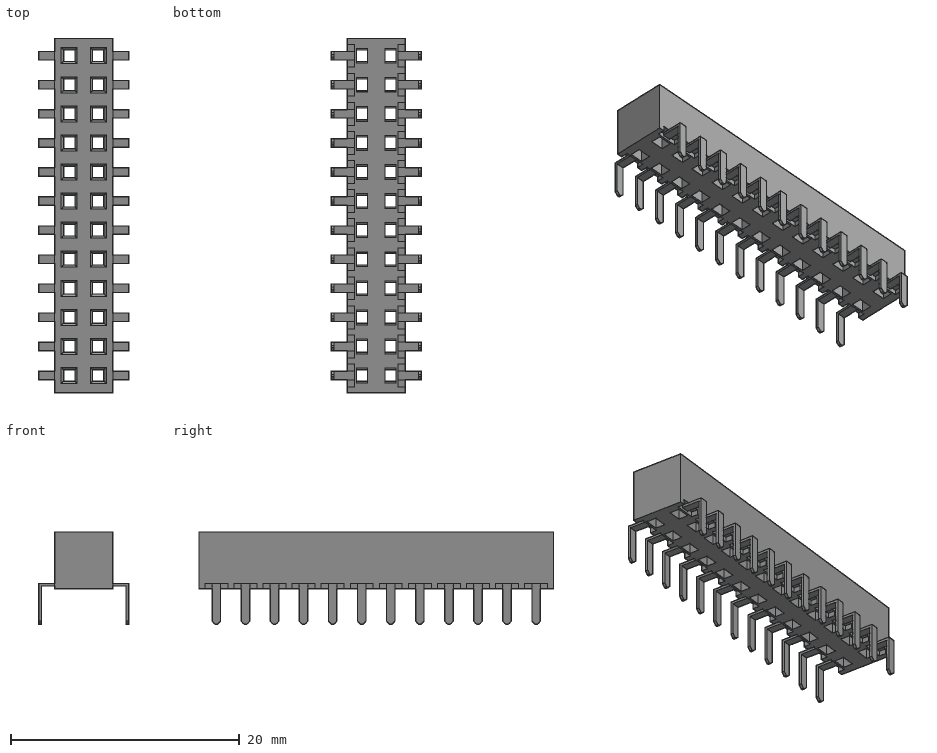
import cadquery as cq

contacts_per_row = 12
pitch = 2.54
end_margin = 0.25
body_width = 5.1
body_length = contacts_per_row * pitch + 2 * end_margin
body_height = 5.0

throat_size = 1.0
lead_in_size = 1.4
lead_in_depth = (lead_in_size - throat_size) / 2
throat_bottom_z = 4.5
cavity_length = 1.3

ledge_setback = 0.25
ledge_protrusion = 0.05
ledge_gap_height = 0.2
ledge_top_z = throat_bottom_z - ledge_gap_height

notch_length = 2.0
notch_height = 0.5
notch_depth = 0.65
notch_wall_x = body_width / 2 - notch_depth

lead_span = 7.87
lead_width = 0.76
lead_thickness = 0.25
lead_drop = 3.1
tip_width = 0.2
tip_height = 0.28

contact_ys = [(i - (contacts_per_row - 1) / 2) * pitch for i in range(contacts_per_row)]


def make_block(x_min, x_max, length, z_min, z_max):
    """Box spanning the given X and Z ranges, centered on Y = 0."""
    return (
        cq.Workplane("XY", origin=((x_min + x_max) / 2, 0, z_min))
        .rect(x_max - x_min, length)
        .extrude(z_max - z_min)
    )


def make_opening():
    """Volume removed for the +X contact at Y = 0, open at both top and bottom."""
    center_x = pitch / 2
    inner_x = center_x - throat_size / 2
    outer_x = center_x + throat_size / 2
    lead_in = (
        cq.Workplane("XY", origin=(center_x, 0, body_height - lead_in_depth))
        .rect(throat_size, throat_size)
        .workplane(offset=lead_in_depth)
        .rect(lead_in_size, lead_in_size)
        .loft(combine=True)
    )
    throat = make_block(inner_x, outer_x, throat_size, throat_bottom_z, body_height - lead_in_depth)
    gap_outer_x = outer_x + ledge_setback
    ledge_gap = make_block(inner_x, gap_outer_x, cavity_length, ledge_top_z, throat_bottom_z)
    cavity = make_block(inner_x, outer_x - ledge_protrusion, cavity_length, 0, ledge_top_z)
    return lead_in.union(throat).union(ledge_gap).union(cavity)


def make_notch():
    """Volume removed from the lower +X edge, leaving room for the lead at Y = 0."""
    return make_block(notch_wall_x, body_width / 2, notch_length, 0, notch_height)


def make_lead():
    """L-shaped +X lead: an arm under the notch roof, then a leg ending in a tapered tip."""
    outer_x = lead_span / 2
    arm = make_block(notch_wall_x, outer_x, lead_width, notch_height - lead_thickness, notch_height)
    half_width = lead_width / 2
    shoulder_z = tip_height - lead_drop
    leg_outline = [
        (-half_width, notch_height),
        (half_width, notch_height),
        (half_width, shoulder_z),
        (tip_width / 2, -lead_drop),
        (-tip_width / 2, -lead_drop),
        (-half_width, shoulder_z),
    ]
    leg = (
        cq.Workplane("YZ", origin=(outer_x - lead_thickness, 0, 0))
        .polyline(leg_outline)
        .close()
        .extrude(lead_thickness)
    )
    return arm.union(leg)


def repeat_in_both_rows(feature):
    """Copies of a +X feature at every contact, mirrored across X = 0 for the other row."""
    copies = cq.Workplane("XY")
    for row_feature in (feature, feature.mirror("YZ")):
        for y in contact_ys:
            copies = copies.add(row_feature.translate((0, y, 0)))
    return cq.Workplane("XY").newObject([cq.Compound.makeCompound(copies.vals())])


housing = cq.Workplane("XY").box(body_width, body_length, body_height, centered=(True, True, False))
housing = housing.cut(repeat_in_both_rows(make_opening()))
housing = housing.cut(repeat_in_both_rows(make_notch()))
result = housing.union(repeat_in_both_rows(make_lead()))